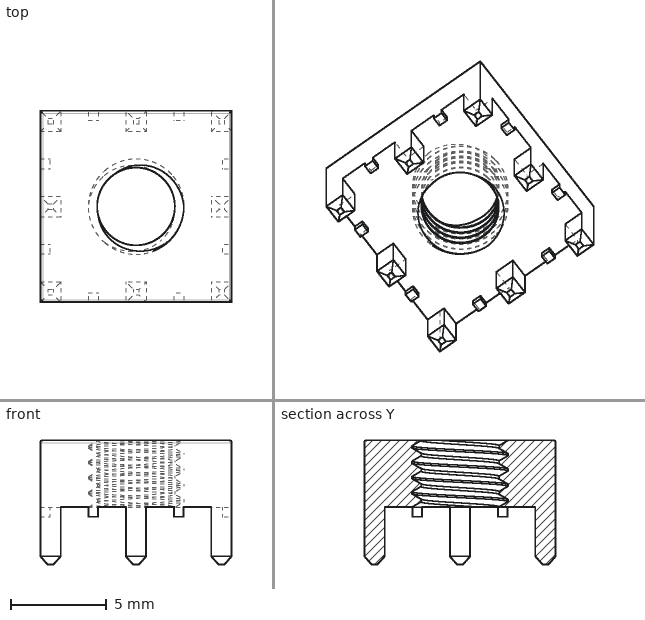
import cadquery as cq
import math

BODY_SIDE = 10.0
TOTAL_HEIGHT = 6.5
LEG_LENGTH = 3.0
TOP_ROUND = 0.12

LEG_WIDTH = 1.07
TIP_HEIGHT = 0.43
TIP_FLAT = 0.3

STUB_WIDTH = 0.5
STUB_HEIGHT = 0.5

THREAD_PITCH = 0.8
MAJOR_RADIUS = 2.5
MINOR_RADIUS = 2.025
ROOT_FLAT = THREAD_PITCH / 8
FLANK_ANGLE = 30.0
EXTRA_TURNS = 1
CUTTER_OVERLAP = 0.05

BODY_HEIGHT = TOTAL_HEIGHT - LEG_LENGTH
BODY_BOTTOM = LEG_LENGTH
HALF_SIDE = BODY_SIDE / 2
LEG_OFFSET = HALF_SIDE - LEG_WIDTH / 2
STUB_EDGE_OFFSET = HALF_SIDE - STUB_WIDTH / 2
STUB_OFFSET = LEG_OFFSET / 2


def square_prism(side, bottom, height):
    """Upright square prism centred on the Z axis."""
    return cq.Workplane("XY").workplane(offset=bottom).rect(side, side).extrude(height)


def make_body():
    """Square block standing on the leg tops, with its upper edges rounded."""
    return square_prism(BODY_SIDE, BODY_BOTTOM, BODY_HEIGHT).faces(">Z").edges().fillet(TOP_ROUND)


def make_leg():
    """Square leg whose tip tapers on all four sides to a small flat."""
    shaft = square_prism(LEG_WIDTH, TIP_HEIGHT, LEG_LENGTH - TIP_HEIGHT)
    tip = (
        cq.Workplane("XY")
        .rect(TIP_FLAT, TIP_FLAT)
        .workplane(offset=TIP_HEIGHT)
        .rect(LEG_WIDTH, LEG_WIDTH)
        .loft(ruled=True)
    )
    return shaft.union(tip)


def leg_positions():
    """Centres of the eight legs around the rim, leaving the middle open."""
    steps = (-LEG_OFFSET, 0, LEG_OFFSET)
    return [(x, y) for x in steps for y in steps if (x, y) != (0, 0)]


def stub_positions():
    """Centres of the two stubs along each of the four sides."""
    positions = []
    for along in (-STUB_OFFSET, STUB_OFFSET):
        for edge in (-STUB_EDGE_OFFSET, STUB_EDGE_OFFSET):
            positions += [(along, edge), (edge, along)]
    return positions


def make_thread_groove():
    """Right-handed helical groove, longer than the body at both ends.

    At the top face the lower edge of the groove root lies on the +X side.
    """
    turns_below_top = math.ceil(BODY_HEIGHT / THREAD_PITCH) + EXTRA_TURNS
    start_z = TOTAL_HEIGHT - turns_below_top * THREAD_PITCH
    helix_height = (turns_below_top + EXTRA_TURNS) * THREAD_PITCH

    inner_radius = MINOR_RADIUS - CUTTER_OVERLAP
    flank_rise = (MAJOR_RADIUS - inner_radius) * math.tan(math.radians(FLANK_ANGLE))
    path = cq.Workplane(
        cq.Wire.makeHelix(THREAD_PITCH, helix_height, MINOR_RADIUS, center=cq.Vector(0, 0, start_z))
    )
    profile = cq.Workplane("XZ").polyline([
        (inner_radius, start_z - flank_rise),
        (MAJOR_RADIUS, start_z),
        (MAJOR_RADIUS, start_z + ROOT_FLAT),
        (inner_radius, start_z + ROOT_FLAT + flank_rise),
    ]).close()
    return profile.sweep(path, isFrenet=True)


def cut_thread(body):
    """Cut the groove first and then open the bore down to the thread crests."""
    bore = cq.Workplane("XY").workplane(offset=BODY_BOTTOM).circle(MINOR_RADIUS).extrude(BODY_HEIGHT)
    return body.cut(make_thread_groove()).cut(bore)


result = cut_thread(make_body())

leg = make_leg()
for x, y in leg_positions():
    result = result.union(leg.translate((x, y, 0)))

stub = square_prism(STUB_WIDTH, BODY_BOTTOM - STUB_HEIGHT, STUB_HEIGHT)
for x, y in stub_positions():
    result = result.union(stub.translate((x, y, 0)))